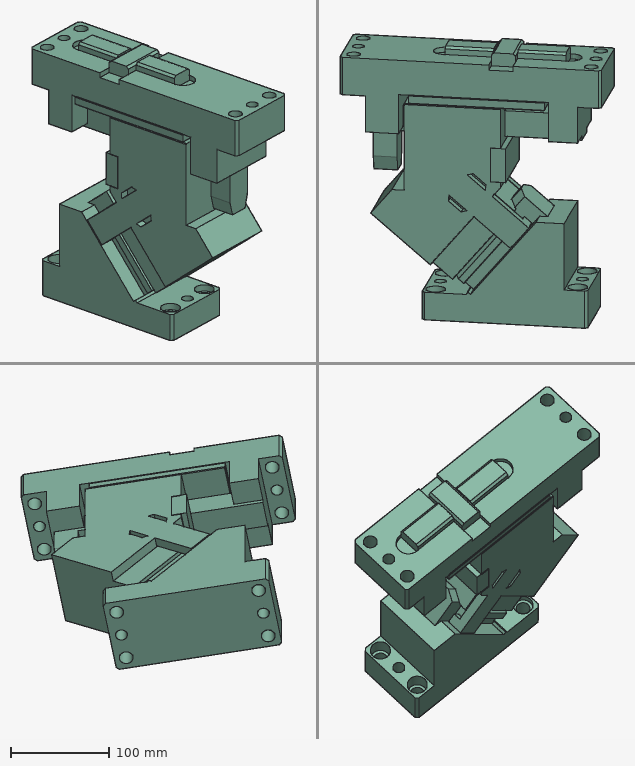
import cadquery as cq
import math


WIDTH = 80.0
HALF_WIDTH = WIDTH / 2
CORNER_CHAMFER = 2.8
EDGE_CHAMFER = 0.9
SCREW_HOLE_D = 14.0
DOWEL_HOLE_D = 12.0
SCREW_Y = 27.5
HOLE_INSET = 12.2

DRIVER_LENGTH = 270.0
DRIVER_TOP = 275.5
FLANGE_THICKNESS = 40.0
LEG_BOTTOM = 197.0
LEFT_LEG_X = (-110.8, -80.7)
RIGHT_LEG_X = (74.0, 108.5)
RECESS_TOP = 238.8
DRIVE_PLATE_X = (-76.5, 64.2)
KEY_WIDTH = 25.0
KEY_TOP = 284.0
KEY_SEAT_DEPTH = 5.5
KEY_CHAMFER = 2.5
CROSS_X = -31.5
LONG_KEY_LENGTH = 125.0
LONG_SEAT_LENGTH = 153.0
CROSS_KEY_LENGTH = 50.0
RAIL_WIDTH = 28.5
RAIL_BOTTOM = 192.3
POST_X = (80.5, 105.0)
POST_BOTTOM = 148.8
POST_TAPER_HEIGHT = 15.0
POST_TAPER_INSET = 4.0

COLUMN_X = (-31.0, 68.5)
COLUMN_TOP = 219.5
SLIDE_PLATE_TOP = 229.5
SHOULDER_Z = 137.2
BUMPER_X = (-36.5, -21.0)
BUMPER_Z = (151.0, 187.2)
BUMPER_Y = (-39.2, 40.5)

BASE_X = (-121.0, 50.3)
BODY_LEFT = -96.8
LEFT_FOOT_TOP = 39.8
RIGHT_FOOT_TOP = 29.5
BODY_TOP = 110.5
COUNTERBORE_D = 20.2
COUNTERBORE_FLOOR = 22.5

INCLINE_ANGLE = math.radians(50)
INCLINE_X = -68.0
COS_A = math.cos(INCLINE_ANGLE)
SIN_A = math.sin(INCLINE_ANGLE)

GUIDE_S = (-5.5, 105.5)
STOP_LIP_N = 3.5
GUIDE_FOOT_N = -11.5
GUIDE_HEAD_S = 19.5
GUIDE_NOSE_HALF = 19.0
NECK_HALF = 22.2
HEAD_HALF = 28.5
HEAD_BOTTOM_N = 11.6
EAVE_N = 19.0
RIDGE_N = 32.0
RIDGE_HALF = 7.0

SLIDER_S = (10.0, 109.5)
CORE_HALF = 29.3
CORE_BOTTOM_N = 23.0
FLANK_BOTTOM_N = 50.5
SLIDER_TOP_N = 131.2
CHEEK_END_S = 39.5
CHEEK_BOTTOM_N = 1.5
CHEEK_GAP = 1.0
RELIEF_N = (60.2, 84.3)
RELIEF_WIDTH = 5.0
RELIEF_CORNER = 3.5


def incline_point(s, n):
    """X and Z of a point given in the inclined frame."""
    return (INCLINE_X + s * COS_A + n * SIN_A, BODY_TOP - s * SIN_A + n * COS_A)


def block(x_range, y_range, z_range):
    """Box between two limits on each axis."""
    size = [high - low for low, high in (x_range, y_range, z_range)]
    return cq.Workplane("XY").box(*size, centered=False).translate((x_range[0], y_range[0], z_range[0]))


def centred_block(x_range, width, z_range):
    """Box that is symmetric about Y = 0."""
    return block(x_range, (-width / 2, width / 2), z_range)


def side_profile(points, width):
    """XZ outline extruded symmetrically about Y = 0."""
    return cq.Workplane("XZ").polyline(points).close().extrude(width / 2, both=True)


def along_incline(section, s_range):
    """Section given as (y, n) points, extruded down the incline."""
    x, z = incline_point(s_range[0], 0)
    plane = cq.Plane(origin=(x, 0, z), xDir=(0, 1, 0), normal=(COS_A, 0, -SIN_A))
    return cq.Workplane(plane).polyline(section).close().extrude(s_range[1] - s_range[0])


def mirrored(half_section):
    """Full (y, n) section from its +Y half, listed from bottom to top."""
    return half_section + [(-y, n) for y, n in reversed(half_section)]


def roof_n(y):
    """Height of the guide's sloping roof at a given Y."""
    return RIDGE_N - (y - RIDGE_HALF) * (RIDGE_N - EAVE_N) / (HEAD_HALF - RIDGE_HALF)


def drill(body, points, diameter, z_range):
    """Cut vertical round holes at the (x, y) points."""
    holes = cq.Workplane("XY").workplane(offset=z_range[0]).pushPoints(points)
    return body.cut(holes.circle(diameter / 2).extrude(z_range[1] - z_range[0]))


def driver_block():
    """Flanged block with two legs and a row of holes at each end."""
    half_length = DRIVER_LENGTH / 2
    flange_bottom = DRIVER_TOP - FLANGE_THICKNESS
    body = centred_block((-half_length, half_length), WIDTH, (flange_bottom, DRIVER_TOP))
    body = body.edges("|Z").chamfer(CORNER_CHAMFER)
    for leg_x in (LEFT_LEG_X, RIGHT_LEG_X):
        body = body.union(centred_block(leg_x, WIDTH, (LEG_BOTTOM, DRIVER_TOP - KEY_SEAT_DEPTH)))
    body = body.cut(centred_block((LEFT_LEG_X[1], RIGHT_LEG_X[0]), WIDTH, (LEG_BOTTOM, RECESS_TOP)))
    hole_z = (flange_bottom, DRIVER_TOP)
    for x in (HOLE_INSET - half_length, half_length - HOLE_INSET):
        body = drill(body, [(x, -SCREW_Y), (x, SCREW_Y)], SCREW_HOLE_D, hole_z)
        body = drill(body, [(x, 0)], DOWEL_HOLE_D, hole_z)
    return body


def add_keys(body):
    """Crossed keys standing in their seats on the top face."""
    seat_floor = DRIVER_TOP - KEY_SEAT_DEPTH
    key_z = (seat_floor, KEY_TOP)
    long_seat = cq.Workplane("XY").workplane(offset=seat_floor).center(CROSS_X, 0)
    long_seat = long_seat.slot2D(LONG_SEAT_LENGTH, KEY_WIDTH).extrude(KEY_SEAT_DEPTH)
    cross_x = (CROSS_X - KEY_WIDTH / 2, CROSS_X + KEY_WIDTH / 2)
    cross_seat = centred_block(cross_x, WIDTH, (seat_floor, DRIVER_TOP))
    long_x = (CROSS_X - LONG_KEY_LENGTH / 2, CROSS_X + LONG_KEY_LENGTH / 2)
    long_key = centred_block(long_x, KEY_WIDTH, key_z).edges(">Z and |X").chamfer(KEY_CHAMFER)
    cross_key = centred_block(cross_x, CROSS_KEY_LENGTH, key_z).edges(">Z and |Y").chamfer(KEY_CHAMFER)
    long_key = long_key.cut(centred_block(cross_x, WIDTH, key_z))
    return body.cut(long_seat).cut(cross_seat).union(long_key).union(cross_key)


def drive_plate():
    """Wear plate under the block, with broken edges."""
    plate = centred_block(DRIVE_PLATE_X, WIDTH, (SLIDE_PLATE_TOP, RECESS_TOP))
    return plate.faces("<Z or >Z").edges().chamfer(EDGE_CHAMFER)


def return_rail():
    """Rail that passes through the slider, with a tapered post at its +X end."""
    rail = centred_block((LEFT_LEG_X[0], POST_X[1]), RAIL_WIDTH, (RAIL_BOTTOM, COLUMN_TOP))
    half = RAIL_WIDTH / 2
    taper_top = POST_BOTTOM + POST_TAPER_HEIGHT
    outline = mirrored([(half - POST_TAPER_INSET, POST_BOTTOM), (half, taper_top), (half, COLUMN_TOP)])
    post = cq.Workplane("YZ").workplane(offset=POST_X[0]).polyline(outline).close()
    return rail.union(post.extrude(POST_X[1] - POST_X[0]))


def make_driver():
    return add_keys(driver_block()).union(drive_plate()).union(return_rail())


def slider_body():
    """Upright column leaning into an inclined foot, plus the core above the guide."""
    flank_left_z = BODY_TOP + (FLANK_BOTTOM_N - (COLUMN_X[0] - INCLINE_X) * SIN_A) / COS_A
    shoulder_s = (BODY_TOP + SLIDER_TOP_N * COS_A - SHOULDER_Z) / SIN_A
    outline = [
        (COLUMN_X[0], COLUMN_TOP),
        (COLUMN_X[0], flank_left_z),
        incline_point(SLIDER_S[0], FLANK_BOTTOM_N),
        incline_point(SLIDER_S[1], FLANK_BOTTOM_N),
        incline_point(SLIDER_S[1], SLIDER_TOP_N),
        incline_point(shoulder_s, SLIDER_TOP_N),
        (COLUMN_X[1], SHOULDER_Z),
        (COLUMN_X[1], COLUMN_TOP),
    ]
    roof_half = RIDGE_HALF + (RIDGE_N - CORE_BOTTOM_N) * (HEAD_HALF - RIDGE_HALF) / (RIDGE_N - EAVE_N)
    core_section = mirrored([
        (RIDGE_HALF, RIDGE_N),
        (roof_half, CORE_BOTTOM_N),
        (CORE_HALF, CORE_BOTTOM_N),
        (CORE_HALF, FLANK_BOTTOM_N),
    ])
    return side_profile(outline, WIDTH).union(along_incline(core_section, SLIDER_S))


def slider_cheek(side):
    """Side cheek whose hook reaches under the T head; side is +1 or -1 in Y."""
    inner = CORE_HALF + CHEEK_GAP
    half_section = [
        (HALF_WIDTH, CHEEK_BOTTOM_N),
        (HALF_WIDTH, FLANK_BOTTOM_N),
        (inner, FLANK_BOTTOM_N),
        (inner, HEAD_BOTTOM_N),
        (NECK_HALF, HEAD_BOTTOM_N),
        (NECK_HALF, CHEEK_BOTTOM_N),
    ]
    return along_incline([(side * y, n) for y, n in half_section], (SLIDER_S[0], CHEEK_END_S))


def relief_slot(inner_s, outward):
    """Pair of slots, one in each side face; outward is the s direction of the short edge."""
    outer_s = inner_s + outward * RELIEF_WIDTH
    outline = [
        incline_point(inner_s, RELIEF_N[0]),
        incline_point(outer_s, RELIEF_N[0] + RELIEF_CORNER),
        incline_point(outer_s, RELIEF_N[1] - RELIEF_CORNER),
        incline_point(inner_s, RELIEF_N[1]),
    ]
    return side_profile(outline, WIDTH).cut(side_profile(outline, 2 * (CORE_HALF + CHEEK_GAP)))


def slide_plate():
    """Wear plate on top of the column."""
    plate = centred_block(COLUMN_X, WIDTH, (COLUMN_TOP, SLIDE_PLATE_TOP))
    return plate.edges(">Z and |X").chamfer(EDGE_CHAMFER)


def make_slider():
    slider = slider_body()
    for side in (-1, 1):
        slider = slider.union(slider_cheek(side))
    slider = slider.cut(relief_slot(SLIDER_S[0], -1)).cut(relief_slot(CHEEK_END_S, 1))
    slider = slider.cut(centred_block(COLUMN_X, RAIL_WIDTH, (RAIL_BOTTOM, COLUMN_TOP)))
    slider = slider.union(slide_plate())
    slider = slider.cut(centred_block((COLUMN_X[0], BUMPER_X[1]), WIDTH, BUMPER_Z))
    return slider.union(block(BUMPER_X, BUMPER_Y, BUMPER_Z))


def base_body():
    """Wedge with a foot at each end and a small stop lip below the incline."""
    lip_end_s = (BODY_TOP + STOP_LIP_N * COS_A - RIGHT_FOOT_TOP) / SIN_A
    outline = [
        (BASE_X[0], 0),
        (BASE_X[1], 0),
        (BASE_X[1], RIGHT_FOOT_TOP),
        incline_point(lip_end_s, STOP_LIP_N),
        incline_point(GUIDE_S[1], STOP_LIP_N),
        incline_point(GUIDE_S[1], 0),
        incline_point(0, 0),
        (BODY_LEFT, BODY_TOP),
        (BODY_LEFT, LEFT_FOOT_TOP),
        (BASE_X[0], LEFT_FOOT_TOP),
    ]
    return side_profile(outline, WIDTH).edges("|Z and (<X or >X)").chamfer(CORNER_CHAMFER)


def guide():
    """Roofed T guide on the incline, with a narrower nose above it."""
    nose_section = mirrored([
        (GUIDE_NOSE_HALF, GUIDE_FOOT_N),
        (GUIDE_NOSE_HALF, roof_n(GUIDE_NOSE_HALF)),
        (RIDGE_HALF, RIDGE_N),
    ])
    head_section = mirrored([
        (NECK_HALF, 0),
        (NECK_HALF, HEAD_BOTTOM_N),
        (HEAD_HALF, HEAD_BOTTOM_N),
        (HEAD_HALF, EAVE_N),
        (RIDGE_HALF, RIDGE_N),
    ])
    nose = along_incline(nose_section, (GUIDE_S[0], GUIDE_HEAD_S))
    return nose.union(along_incline(head_section, (GUIDE_HEAD_S, GUIDE_S[1])))


def make_base():
    base = base_body().union(guide())
    rows = ((BASE_X[0] + HOLE_INSET, LEFT_FOOT_TOP), (BASE_X[1] - HOLE_INSET, RIGHT_FOOT_TOP))
    for x, foot_top in rows:
        screw_points = [(x, -SCREW_Y), (x, SCREW_Y)]
        base = drill(base, screw_points, SCREW_HOLE_D, (0, foot_top))
        base = drill(base, screw_points, COUNTERBORE_D, (COUNTERBORE_FLOOR, foot_top))
        base = drill(base, [(x, 0)], DOWEL_HOLE_D, (0, foot_top))
    return base


driver = make_driver()
slider = make_slider()
base = make_base()

result = cq.Compound.makeCompound([body.solids().val() for body in (driver, slider, base)])